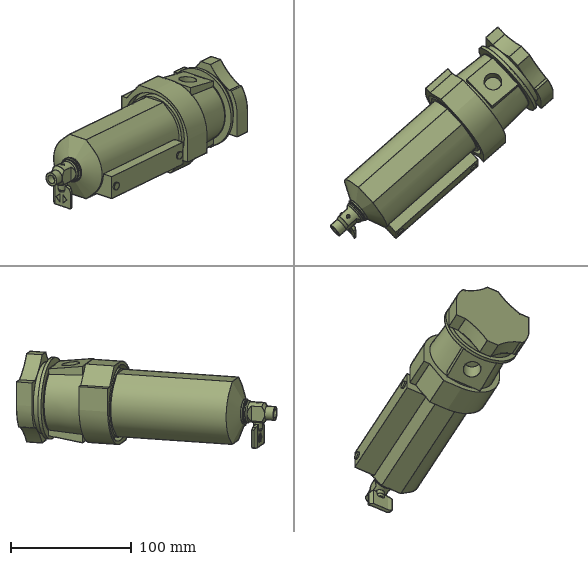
import cadquery as cq
import math


BORE_SHOULDER_Y = 6.5
VALVE_NOSE_Y = 7.3
VALVE_CHAMFER_Y = 9.5
STEM_Y = 14.7
BOWL_TIP_Y = 26.7
BOWL_SHOULDER_Y = 34.4
COLLAR_FRONT_Y = 134.0
COLLAR_BACK_Y = 158.8
PORT_Y = 177.0
BOSS_FRONT_Y = 161.8
HOUSING_BACK_Y = 191.3
FLANGE_FRONT_Y = 192.0
FLANGE_BACK_Y = 194.9
KNOB_FRONT_Y = 200.0
KNOB_BACK_Y = 213.5

KNOB_RADIUS = 34.0
KNOB_HEIGHT = 75.0
KNOB_TOP_HALF_WIDTH = 5.1
KNOB_LUG_INNER_X = 25.5
KNOB_SCOOP_DEPTH = 1.7
NECK_RADIUS = 29.9
FLANGE_RADIUS = 34.0
RELIEF_RADIUS = 27.7
HOUSING_BACK_RADIUS = 28.2
HOUSING_FRONT_RADIUS = 29.9
BOSS_HALF_WIDTH = 15.5
BOSS_BACK_HEIGHT = 28.4
BOSS_FRONT_HEIGHT = 32.5
PORT_RADIUS = 7.3
PORT_FLOOR_Z = 17.0

LUG_HEIGHT = 19.9

COLLAR_HALF_WIDTH = 35.5
COLLAR_HALF_HEIGHT = 35.0
COLLAR_CORNER_RADIUS = 34.2
COLLAR_FLAT_HALF_WIDTH = 16.9
COLLAR_LUG_INNER_X = 30.0
COLLAR_RECESS_RADIUS = 31.8
COLLAR_RECESS_DEPTH = 6.5

BOWL_FLANGE_RADIUS = 28.5
BOWL_RADIUS = 26.0
BOWL_FLAT_Z = 26.7
BOWL_FLAT_HALF_WIDTH = 9.0
BOWL_CORNER_X = 16.5
BOWL_TIP_SCALE = 0.38

BAR_BACK_Y = 128.3
BAR_FRONT_Y = 36.0
BAR_OUTER_X = 35.0
BAR_INNER_X = 12.8
SCREW_RADIUS = 3.2
SCREW_END_X = 36.3
SCREW_INSET = 5.1

VALVE_RIM_RADIUS = 10.5
VALVE_RIM_FRONT_Y = 25.2
VALVE_GROOVE_RADIUS = 9.0
VALVE_GROOVE_FRONT_Y = 24.3
VALVE_BEAD_RADIUS = 9.4
VALVE_BEAD_FRONT_Y = 23.0
VALVE_BODY_RADIUS = 8.5
VALVE_BODY_BACK_Y = 21.8
VALVE_NOSE_RADIUS = 5.8
VALVE_FLAT_X = 5.8
VALVE_FLAT_BACK_Y = 18.8
BORE_RADIUS = 3.6
PASSAGE_RADIUS = 1.7
VENT_RADIUS = 1.5

STEM_RADIUS = 3.8
STEM_TOP_Z = -4.3
STEM_CHAMFER_Z = -13.2
STEM_BOTTOM_Z = -15.4
STEM_BOTTOM_RADIUS = 2.8
LEVER_HALF_WIDTH = 10.2
LEVER_PANEL_HALF_WIDTH = 7.0
LEVER_PANEL_HALF_THICKNESS = 1.5
WING_NEAR_OFFSET = 0.5
WING_FAR_OFFSET = 2.3
LEVER_TOP_Z = -9.4
LEVER_TOP_HALF_WIDTH = 4.3
LEVER_SHOULDER_Z = -10.9
LEVER_SHOULDER_HALF_WIDTH = 8.5
LEVER_SIDE_TOP_Z = -13.0
LEVER_BOTTOM_Z = -28.5
LEVER_BOTTOM_CHAMFER = 1.0
ARROW_BASE_X = 1.7
ARROW_TIP_X = 5.8
ARROW_Z = -21.5
ARROW_HALF_HEIGHT = 3.6
ARROW_RELIEF = 0.2


def section(y):
    """Sketch plane across the axis at station y, with local X and Y along X and Z."""
    return cq.Workplane("XZ", origin=(0, y, 0))


def disc(radius, y_front, y_back):
    """Cylinder on the Y axis."""
    return section(y_front).circle(radius).extrude(y_front - y_back)


def turned(points):
    """Solid turned about the Y axis from (radius, y) points."""
    return cq.Workplane("XY").polyline(points).close().revolve(360, (0, 0, 0), (0, 1, 0))


def point_on_circle(radius, height):
    """Point at positive X on a circle about the origin, at the given height."""
    return math.sqrt(radius**2 - height**2), height


def opposite(point):
    """The point turned half a turn about the axis."""
    return -point[0], -point[1]


def knob():
    """Wrench end: flats at top and bottom, four scoops and four lugs, equal after half a turn."""
    flat_end = (KNOB_TOP_HALF_WIDTH, KNOB_HEIGHT / 2)
    lug_start = (KNOB_LUG_INNER_X, LUG_HEIGHT)
    chord = math.dist(flat_end, lug_start)
    scoop_mid = (
        (flat_end[0] + lug_start[0]) / 2 - KNOB_SCOOP_DEPTH * (flat_end[1] - lug_start[1]) / chord,
        (flat_end[1] + lug_start[1]) / 2 - KNOB_SCOOP_DEPTH * (lug_start[0] - flat_end[0]) / chord,
    )
    round_start = point_on_circle(KNOB_RADIUS, LUG_HEIGHT)
    round_mid = point_on_circle(KNOB_RADIUS, LUG_HEIGHT / 2)

    def mirrored(point):
        return point[0], -point[1]

    outline = section(KNOB_FRONT_Y).moveTo(*opposite(mirrored(flat_end)))
    for place in (lambda point: point, opposite):
        outline = (
            outline.lineTo(*place(flat_end))
            .threePointArc(place(scoop_mid), place(lug_start))
            .lineTo(*place(round_start))
            .threePointArc(place(round_mid), place((KNOB_RADIUS, 0)))
            .lineTo(*place((KNOB_RADIUS, -LUG_HEIGHT)))
            .lineTo(*place(mirrored(lug_start)))
            .threePointArc(place(mirrored(scoop_mid)), place(mirrored(flat_end)))
        )
    return outline.close().extrude(KNOB_FRONT_Y - KNOB_BACK_Y)


def port_boss():
    """Flat-topped boss above the axis, higher towards the front."""
    profile = [
        (HOUSING_BACK_Y, 0),
        (HOUSING_BACK_Y, BOSS_BACK_HEIGHT),
        (BOSS_FRONT_Y, BOSS_FRONT_HEIGHT),
        (BOSS_FRONT_Y, 0),
    ]
    return cq.Workplane("YZ").polyline(profile).close().extrude(BOSS_HALF_WIDTH, both=True)


def make_head():
    head = knob().union(
        turned(
            [
                (0, COLLAR_BACK_Y),
                (HOUSING_FRONT_RADIUS, COLLAR_BACK_Y),
                (HOUSING_BACK_RADIUS, HOUSING_BACK_Y),
                (RELIEF_RADIUS, HOUSING_BACK_Y),
                (RELIEF_RADIUS, FLANGE_FRONT_Y),
                (FLANGE_RADIUS, FLANGE_FRONT_Y),
                (FLANGE_RADIUS, FLANGE_BACK_Y),
                (NECK_RADIUS, FLANGE_BACK_Y),
                (NECK_RADIUS, KNOB_FRONT_Y),
                (0, KNOB_FRONT_Y),
            ]
        )
    )
    port_depth = BOSS_FRONT_HEIGHT - PORT_FLOOR_Z
    port = cq.Workplane("XY", origin=(0, PORT_Y, PORT_FLOOR_Z)).circle(PORT_RADIUS).extrude(port_depth)
    for turn in (0, 180):
        boss_here = port_boss().rotate((0, 0, 0), (0, 1, 0), turn)
        port_here = port.rotate((0, 0, 0), (0, 1, 0), turn)
        head = head.union(boss_here).cut(port_here)
    return head


def make_collar():
    """Ring with two bevelled wrench corners, recessed around the bowl flange."""
    arc_mid = point_on_circle(COLLAR_CORNER_RADIUS, COLLAR_CORNER_RADIUS * math.sin(math.radians(45)))
    outline = section(COLLAR_FRONT_Y).moveTo(0, COLLAR_HALF_HEIGHT)
    for place in (lambda point: point, opposite):
        outline = (
            outline.threePointArc(place(arc_mid), place((COLLAR_HALF_WIDTH, 0)))
            .lineTo(*place((COLLAR_HALF_WIDTH, -LUG_HEIGHT)))
            .lineTo(*place((COLLAR_LUG_INNER_X, -LUG_HEIGHT)))
            .lineTo(*place((COLLAR_FLAT_HALF_WIDTH, -COLLAR_HALF_HEIGHT)))
            .lineTo(*place((0, -COLLAR_HALF_HEIGHT)))
        )
    ring = outline.close().extrude(COLLAR_FRONT_Y - COLLAR_BACK_Y)
    recess = disc(COLLAR_RECESS_RADIUS, COLLAR_FRONT_Y, COLLAR_FRONT_Y + COLLAR_RECESS_DEPTH)
    return ring.cut(recess).cut(disc(BOWL_FLANGE_RADIUS, COLLAR_FRONT_Y, COLLAR_BACK_Y))


def bowl_outline(y, scale):
    """Bowl cross-section: round sides, flats at top and bottom, and bevels between them."""
    radius = BOWL_RADIUS * scale
    corner_x = BOWL_CORNER_X * scale
    corner_z = math.sqrt(radius**2 - corner_x**2)
    flat_x = BOWL_FLAT_HALF_WIDTH * scale
    flat_z = BOWL_FLAT_Z * scale
    return (
        section(y)
        .moveTo(-flat_x, flat_z)
        .lineTo(flat_x, flat_z)
        .lineTo(corner_x, corner_z)
        .threePointArc((radius, 0), (corner_x, -corner_z))
        .lineTo(flat_x, -flat_z)
        .lineTo(-flat_x, -flat_z)
        .lineTo(-corner_x, -corner_z)
        .threePointArc((-radius, 0), (-corner_x, corner_z))
        .close()
    )


def make_bowl():
    flange = disc(BOWL_FLANGE_RADIUS, COLLAR_FRONT_Y, COLLAR_BACK_Y)
    barrel = bowl_outline(BOWL_SHOULDER_Y, 1).extrude(BOWL_SHOULDER_Y - COLLAR_FRONT_Y)
    shoulder_wire = bowl_outline(BOWL_SHOULDER_Y, 1).val()
    tip_wire = bowl_outline(BOWL_TIP_Y, BOWL_TIP_SCALE).val()
    taper = cq.Workplane(cq.Solid.makeLoft([shoulder_wire, tip_wire], True))
    return flange.union(barrel).union(taper)


def make_side_bar(bowl):
    """Bar fitted to the side of the bowl, with a screw head near each end."""
    bar = cq.Workplane("XY").box(
        BAR_OUTER_X - BAR_INNER_X, BAR_BACK_Y - BAR_FRONT_Y, LUG_HEIGHT, centered=False
    )
    bar = bar.translate((BAR_INNER_X, BAR_FRONT_Y, -LUG_HEIGHT)).cut(bowl)
    for y in (BAR_FRONT_Y + SCREW_INSET, BAR_BACK_Y - SCREW_INSET):
        screw_plane = cq.Workplane("YZ", origin=(BAR_OUTER_X, y, -LUG_HEIGHT / 2))
        bar = bar.union(screw_plane.circle(SCREW_RADIUS).extrude(SCREW_END_X - BAR_OUTER_X))
    return bar


def valve_side_cut():
    """Cutter for the flat at positive X, which runs out in a slope towards the rim."""
    run_out_x = VALVE_FLAT_X + VALVE_BODY_BACK_Y - VALVE_FLAT_BACK_Y
    profile = [
        (VALVE_FLAT_X, 0),
        (VALVE_FLAT_X, VALVE_FLAT_BACK_Y),
        (run_out_x, VALVE_BODY_BACK_Y),
        (VALVE_RIM_RADIUS, VALVE_BODY_BACK_Y),
        (VALVE_RIM_RADIUS, 0),
    ]
    return cq.Workplane("XY").polyline(profile).close().extrude(VALVE_RIM_RADIUS, both=True)


def make_drain_valve(lever):
    valve = turned(
        [
            (0, 0),
            (VALVE_NOSE_RADIUS, 0),
            (VALVE_NOSE_RADIUS, VALVE_NOSE_Y),
            (VALVE_BODY_RADIUS, VALVE_CHAMFER_Y),
            (VALVE_BODY_RADIUS, VALVE_BODY_BACK_Y),
            (VALVE_BEAD_RADIUS, VALVE_BEAD_FRONT_Y),
            (VALVE_BEAD_RADIUS, VALVE_GROOVE_FRONT_Y),
            (VALVE_GROOVE_RADIUS, VALVE_GROOVE_FRONT_Y),
            (VALVE_GROOVE_RADIUS, VALVE_RIM_FRONT_Y),
            (VALVE_RIM_RADIUS, VALVE_RIM_FRONT_Y),
            (VALVE_RIM_RADIUS, BOWL_TIP_Y),
            (0, BOWL_TIP_Y),
        ]
    )
    side_cut = valve_side_cut()
    valve = valve.cut(side_cut).cut(side_cut.mirror("YZ"))
    valve = valve.cut(disc(BORE_RADIUS, 0, BORE_SHOULDER_Y))
    valve = valve.cut(disc(PASSAGE_RADIUS, BORE_SHOULDER_Y, STEM_Y))
    vent = cq.Workplane("XY", origin=(0, STEM_Y, 0)).circle(VENT_RADIUS).extrude(VALVE_BODY_RADIUS)
    return valve.cut(vent).cut(lever)


def lever_stem():
    stem = cq.Workplane("XY", origin=(0, STEM_Y, STEM_TOP_Z)).circle(STEM_RADIUS)
    stem = stem.extrude(STEM_BOTTOM_Z - STEM_TOP_Z)
    chamfer_width = STEM_RADIUS - STEM_BOTTOM_RADIUS
    return stem.faces("<Z").chamfer(STEM_CHAMFER_Z - STEM_BOTTOM_Z, chamfer_width)


def lever_plate():
    """Plate whose wings sweep to opposite sides, trimmed to its outline across the axis."""
    half_turn_profile = [
        (-LEVER_PANEL_HALF_WIDTH, -LEVER_PANEL_HALF_THICKNESS),
        (LEVER_PANEL_HALF_WIDTH, -LEVER_PANEL_HALF_THICKNESS),
        (LEVER_HALF_WIDTH, -WING_FAR_OFFSET),
        (LEVER_HALF_WIDTH, -WING_NEAR_OFFSET),
    ]
    profile = half_turn_profile + [opposite(point) for point in half_turn_profile]
    plan = cq.Workplane("XY", origin=(0, STEM_Y, LEVER_BOTTOM_Z)).polyline(profile).close()
    plate = plan.extrude(LEVER_TOP_Z - LEVER_BOTTOM_Z)

    right_side = [
        (LEVER_TOP_HALF_WIDTH, LEVER_TOP_Z),
        (LEVER_SHOULDER_HALF_WIDTH, LEVER_SHOULDER_Z),
        (LEVER_HALF_WIDTH, LEVER_SIDE_TOP_Z),
        (LEVER_HALF_WIDTH, LEVER_BOTTOM_Z + LEVER_BOTTOM_CHAMFER),
        (LEVER_HALF_WIDTH - LEVER_BOTTOM_CHAMFER, LEVER_BOTTOM_Z),
    ]
    left_side = [(-x, z) for x, z in reversed(right_side)]
    front = section(STEM_Y).polyline(right_side + left_side).close()
    return plate.intersect(front.extrude(LEVER_HALF_WIDTH, both=True))


def lever_arrows():
    """Two raised triangles on the front of the panel, pointing to either side."""
    panel_front_y = STEM_Y - LEVER_PANEL_HALF_THICKNESS
    arrows = cq.Workplane("XZ", origin=(0, panel_front_y, ARROW_Z))
    for side in (-1, 1):
        arrows = (
            arrows.moveTo(side * ARROW_BASE_X, -ARROW_HALF_HEIGHT)
            .lineTo(side * ARROW_TIP_X, 0)
            .lineTo(side * ARROW_BASE_X, ARROW_HALF_HEIGHT)
            .close()
        )
    return arrows.extrude(ARROW_RELIEF)


def make_lever():
    return lever_stem().union(lever_plate()).union(lever_arrows())


head = make_head()
collar = make_collar()
bowl = make_bowl()
side_bar = make_side_bar(bowl)
lever = make_lever()
drain_valve = make_drain_valve(lever)

result = cq.Compound.makeCompound(
    [
        head.val(),
        collar.val(),
        bowl.val(),
        side_bar.val(),
        drain_valve.val(),
        lever.val(),
    ]
)